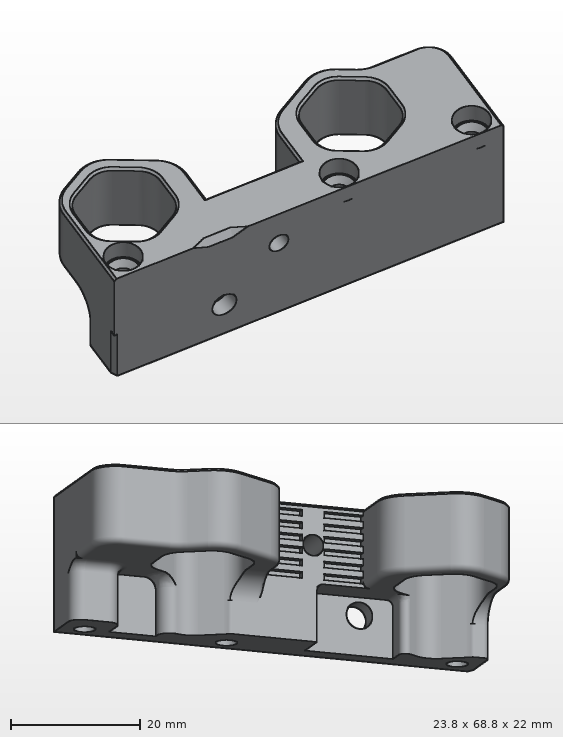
import cadquery as cq
import math

LENGTH = 68.75
HEIGHT = 22.0
LEG_DEPTH = 8.45
BLOCK_BOTTOM = 9.35
TOP_CHAMFER = 0.4
RIM_FILLET = 0.95
GUSSET_RADIUS = 4.0
SHANK_TOP = BLOCK_BOTTOM - GUSSET_RADIUS

HEX_X = -13.35
HEX_LOW_Y = 9.1
HEX_PITCH = 40.0
HEX_HIGH_Y = HEX_LOW_Y + HEX_PITCH
HEX_APOTHEM = 7.5
HEX_CORNER_RADIUS = 4.0
WALL_APOTHEM = 9.8
NOTCH_WALL_OFFSET = 11.75
WALL_CORNER_RADIUS = 5.5
SHOULDER_X = -20.8
SHOULDER_BLEND = 5.0
SHOULDER_CORNER_RADIUS = 4.0

NOTCH_LOW_Y = HEX_LOW_Y + NOTCH_WALL_OFFSET
NOTCH_HIGH_Y = HEX_HIGH_Y - NOTCH_WALL_OFFSET
NOTCH_MID_Y = (NOTCH_LOW_Y + NOTCH_HIGH_Y) / 2

RECESS_FLOOR_X = -3.0
LOW_RECESS_Y = (13.95, 28.45)
LOW_RECESS_CORNER = 1.0
HIGH_RECESS_Y = (53.1, 60.7)
POST_CORNER_RADIUS = 2.0
LOW_COLUMN_X = -7.5
HIGH_COLUMN_X = -7.0
POST_TOP_BLEND = 1.5
COLUMN_TOP_BLEND = 1.9
SOCKET_LIP_RADIUS = 0.8
SOCKET_LIP_OFFSET = 6.2

GROOVE_COUNT = 6
GROOVE_PITCH = 2.0
GROOVE_HEIGHT = GROOVE_PITCH / 2
GROOVE_BOTTOM = 10.05
GROOVE_DEPTH = 1.0
GROOVE_GAP = 3.65

SCREW_DIAMETER = 3.4
SCREW_HEAD_DIAMETER = 6.1
SCREW_SEAT_DIAMETER = 5.5
SCREW_HEAD_DEPTH = 3.3
SCREW_POINTS = [(-3.15, 64.8), (-3.15, 41.45), (-3.65, 3.6)]
CROSS_HOLE_Z = 15.5
CABLE_HOLE_DIAMETER = 4.25
CABLE_HOLE_Y = 19.45
CABLE_HOLE_Z = 6.45

BACK_RELIEF_DEPTH = 1.1
DENT_MID_Y = 18.8
DENT_OUTER_WIDTH = 9.7
DENT_INNER_WIDTH = 4.7
END_RELIEF_LENGTH = 0.55

OVERLAP = 2.05
MARGIN = 0.1
HALF_HEX_ANGLE = math.radians(30)
BEVEL_ANGLE = 45


def box(x_range, y_range, z_range):
    size = [end - start for start, end in (x_range, y_range, z_range)]
    corner = (x_range[0], y_range[0], z_range[0])
    return cq.Workplane("XY").box(*size, centered=False).translate(corner)


def fillet_upright(body, point, radius):
    """Round the upright edge of a body whose middle is nearest to a plan point."""
    middle_z = body.val().BoundingBox().center.z
    nearest = cq.selectors.NearestToPointSelector((*point, middle_z))
    return body.edges("|Z").edges(nearest).fillet(radius)


def wall_x_at(y_offset):
    """X of the slanted block walls at a Y distance from the socket axis."""
    slant_reach = WALL_APOTHEM - y_offset * math.sin(HALF_HEX_ANGLE)
    return HEX_X - slant_reach / math.cos(HALF_HEX_ANGLE)


def block_body():
    apex_x = wall_x_at(0)
    front_x = wall_x_at(NOTCH_WALL_OFFSET)
    end_corner = (wall_x_at(HEX_LOW_Y), 0)
    low_apex = (apex_x, HEX_LOW_Y)
    low_notch_corner = (front_x, NOTCH_LOW_Y)
    high_notch_corner = (front_x, NOTCH_HIGH_Y)
    high_apex = (apex_x, HEX_HIGH_Y)
    blend_y = HEX_HIGH_Y + (SHOULDER_X - apex_x) / math.tan(HALF_HEX_ANGLE)
    shoulder_blend = (SHOULDER_X, blend_y)
    shoulder_corner = (SHOULDER_X, LENGTH)
    outline = [
        (0, 0),
        end_corner,
        low_apex,
        low_notch_corner,
        (-LEG_DEPTH, NOTCH_LOW_Y),
        (-LEG_DEPTH, NOTCH_HIGH_Y),
        high_notch_corner,
        high_apex,
        shoulder_blend,
        shoulder_corner,
        (0, LENGTH),
    ]
    body = cq.Workplane("XY").workplane(offset=BLOCK_BOTTOM).polyline(outline).close()
    body = body.extrude(HEIGHT - BLOCK_BOTTOM)
    for corner in (end_corner, low_apex, low_notch_corner, high_notch_corner, high_apex):
        body = fillet_upright(body, corner, WALL_CORNER_RADIUS)
    body = fillet_upright(body, shoulder_blend, SHOULDER_BLEND)
    body = fillet_upright(body, shoulder_corner, SHOULDER_CORNER_RADIUS)
    back_edge = cq.selectors.BoxSelector((-MARGIN, 0, 0), (MARGIN, LENGTH, HEIGHT + MARGIN))
    top_rim = cq.selectors.SubtractSelector(cq.StringSyntaxSelector(">Z"), back_edge)
    bottom_rim = cq.selectors.SubtractSelector(cq.StringSyntaxSelector("<Z"), back_edge)
    return body.edges(top_rim).chamfer(TOP_CHAMFER).edges(bottom_rim).fillet(RIM_FILLET)


def gusset(start_y, length):
    """Concave blend from the leg to the block underside, rounded along its starting end."""
    blend_x = -LEG_DEPTH - GUSSET_RADIUS
    diagonal = GUSSET_RADIUS * math.sqrt(0.5)
    body = (
        cq.Workplane("XZ", origin=(0, start_y, 0))
        .moveTo(0, SHANK_TOP)
        .lineTo(-LEG_DEPTH, SHANK_TOP)
        .threePointArc((blend_x + diagonal, SHANK_TOP + diagonal), (blend_x, BLOCK_BOTTOM))
        .lineTo(blend_x, BLOCK_BOTTOM + OVERLAP)
        .lineTo(0, BLOCK_BOTTOM + OVERLAP)
        .close()
        .extrude(-length)
    )
    return body.faces("<Y").edges("%CIRCLE").fillet(RIM_FILLET)


def socket_cutter(y):
    """Rounded hexagon through the full height, with points along X, widened at the top rim."""
    corner_diameter = 2 * HEX_APOTHEM / math.cos(HALF_HEX_ANGLE)
    prism = cq.Workplane("XY").polygon(6, corner_diameter).extrude(HEIGHT)
    prism = prism.edges("|Z").fillet(HEX_CORNER_RADIUS)
    flare = prism.faces("<Z").wires().toPending().extrude(TOP_CHAMFER, combine=False, taper=-BEVEL_ANGLE)
    flare = flare.translate((0, 0, HEIGHT - TOP_CHAMFER))
    return prism.union(flare).translate((HEX_X, y, 0))


def cut_sockets(body):
    return body.cut(socket_cutter(HEX_LOW_Y)).cut(socket_cutter(HEX_HIGH_Y))


def underside_seam(start_y, end_y):
    """Selector for edges where the leg in front of the recess floor meets the block underside."""
    return cq.selectors.BoxSelector(
        (-LEG_DEPTH - MARGIN, start_y - MARGIN, BLOCK_BOTTOM - MARGIN),
        (RECESS_FLOOR_X - MARGIN, end_y + MARGIN, BLOCK_BOTTOM + MARGIN),
    )


def flared_leg():
    """Leg beside the upper socket, blended into the block underside around its column and post."""
    past_end = LENGTH + OVERLAP
    recess_x = (-LEG_DEPTH, RECESS_FLOOR_X)
    leg = box((-LEG_DEPTH, 0), (HEX_HIGH_Y, LENGTH), (0, BLOCK_BOTTOM))
    leg = leg.cut(socket_cutter(HEX_HIGH_Y)).cut(box(recess_x, HIGH_RECESS_Y, (0, BLOCK_BOTTOM)))
    column_corner = (HIGH_COLUMN_X, HIGH_RECESS_Y[0])
    post_corners = [(-LEG_DEPTH, HIGH_RECESS_Y[1]), (-LEG_DEPTH, LENGTH)]
    for corner in [column_corner, *post_corners]:
        leg = fillet_upright(leg, corner, POST_CORNER_RADIUS)

    ceiling = box((-LEG_DEPTH - OVERLAP, 0), (HEX_HIGH_Y, past_end), (BLOCK_BOTTOM, BLOCK_BOTTOM + OVERLAP))
    leg = leg.union(ceiling)
    column_start = HIGH_RECESS_Y[0] - POST_CORNER_RADIUS
    leg = leg.edges(underside_seam(column_start, HIGH_RECESS_Y[0])).fillet(COLUMN_TOP_BLEND)
    leg = leg.edges(underside_seam(HIGH_RECESS_Y[1], LENGTH)).fillet(POST_TOP_BLEND)
    kept = box((-LEG_DEPTH - POST_TOP_BLEND, 0), (HEX_HIGH_Y, LENGTH), (0, HEIGHT))
    return leg.intersect(kept)


def plain_leg():
    """Leg from the rounded end to the upper socket, with the recess in front of the cable hole."""
    shank = cut_sockets(box((-LEG_DEPTH, 0), (0, HEX_HIGH_Y), (0, SHANK_TOP)))
    shank = fillet_upright(shank, (-LEG_DEPTH, 0), RIM_FILLET)
    for socket_y in (HEX_LOW_Y, HEX_HIGH_Y):
        shank = fillet_upright(shank, (-LEG_DEPTH, socket_y - SOCKET_LIP_OFFSET), SOCKET_LIP_RADIUS)

    upper = box((-LEG_DEPTH, 0), (OVERLAP, HEX_HIGH_Y), (SHANK_TOP, BLOCK_BOTTOM + OVERLAP))
    upper = upper.union(gusset(0, HEX_LOW_Y)).union(gusset(NOTCH_HIGH_Y, NOTCH_WALL_OFFSET))

    recess = box((-LEG_DEPTH - OVERLAP, RECESS_FLOOR_X), LOW_RECESS_Y, (0, BLOCK_BOTTOM))
    recess = recess.faces(">Z").edges("|X").fillet(LOW_RECESS_CORNER)
    leg = shank.union(cut_sockets(upper)).cut(recess)
    return fillet_upright(leg, (LOW_COLUMN_X, LOW_RECESS_Y[0]), LOW_RECESS_CORNER)


def groove_cutters():
    cutters = cq.Workplane("XY")
    rows = [
        (NOTCH_LOW_Y, NOTCH_MID_Y - GROOVE_GAP / 2),
        (NOTCH_MID_Y + GROOVE_GAP / 2, NOTCH_HIGH_Y),
    ]
    for index in range(GROOVE_COUNT):
        bottom_z = GROOVE_BOTTOM + index * GROOVE_PITCH
        for row in rows:
            cutters = cutters.union(
                box((-LEG_DEPTH, GROOVE_DEPTH - LEG_DEPTH), row, (bottom_z, bottom_z + GROOVE_HEIGHT))
            )
    return cutters


def screw_cutter(x, y):
    """Through hole with a cylindrical head pocket and a 45 degree conical seat."""
    seat_z = HEIGHT - SCREW_HEAD_DEPTH
    radius = SCREW_DIAMETER / 2
    seat_radius = SCREW_SEAT_DIAMETER / 2
    head_radius = SCREW_HEAD_DIAMETER / 2
    profile = [
        (0, 0),
        (radius, 0),
        (radius, seat_z - (seat_radius - radius)),
        (seat_radius, seat_z),
        (head_radius, seat_z),
        (head_radius, HEIGHT),
        (0, HEIGHT),
    ]
    cutter = cq.Workplane("XZ").polyline(profile).close().revolve(360, (0, 0, 0), (0, 1, 0))
    return cutter.translate((x, y, 0))


def cross_hole(y, z, diameter):
    return cq.Workplane("YZ", origin=(-LEG_DEPTH, y, z)).circle(diameter / 2).extrude(LEG_DEPTH)


def back_dent():
    """Shallow dent in the top back edge, with 45 degree sides."""
    outline = [
        (OVERLAP, DENT_MID_Y + DENT_OUTER_WIDTH / 2),
        (0, DENT_MID_Y + DENT_OUTER_WIDTH / 2),
        (-BACK_RELIEF_DEPTH, DENT_MID_Y + DENT_INNER_WIDTH / 2),
        (-BACK_RELIEF_DEPTH, DENT_MID_Y - DENT_INNER_WIDTH / 2),
        (0, DENT_MID_Y - DENT_OUTER_WIDTH / 2),
        (OVERLAP, DENT_MID_Y - DENT_OUTER_WIDTH / 2),
    ]
    plan = cq.Workplane("XY").workplane(offset=HEIGHT).polyline(outline).close()
    return plan.extrude(-BACK_RELIEF_DEPTH, taper=BEVEL_ANGLE)


def end_relief():
    """Bevel on the back corner of the leg at the rounded end."""
    corner = [(0, 0), (-BACK_RELIEF_DEPTH, 0), (0, END_RELIEF_LENGTH)]
    return cq.Workplane("XY").polyline(corner).close().extrude(BLOCK_BOTTOM)


result = block_body().union(plain_leg()).union(flared_leg())
result = cut_sockets(result).cut(groove_cutters())
for screw_x, screw_y in SCREW_POINTS:
    result = result.cut(screw_cutter(screw_x, screw_y))
result = result.cut(cross_hole(NOTCH_MID_Y, CROSS_HOLE_Z, SCREW_DIAMETER))
result = result.cut(cross_hole(CABLE_HOLE_Y, CABLE_HOLE_Z, CABLE_HOLE_DIAMETER))
result = result.cut(back_dent()).cut(end_relief())